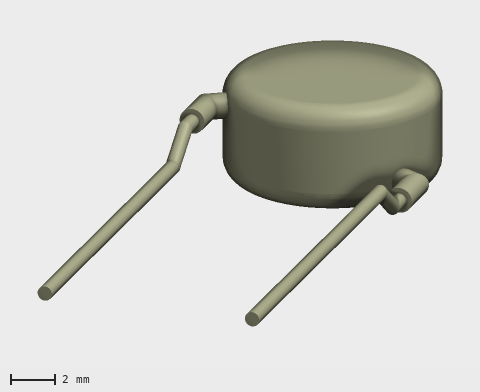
import cadquery as cq

disc_diameter = 10.0
disc_radius = disc_diameter / 2
disc_height = 5.0
edge_radius = 1.0

total_length = 30.0
lead_diameter = 0.7
lead_spacing = disc_diameter
lead_height = 1.3
first_bend_y = -5.9
second_bend_y = -7.62
lead_tip_y = disc_radius - total_length

sleeve_diameter = 1.2
sleeve_bend_y = -3.0
sleeve_end_y = -disc_radius

sides = (-1, 1)


def sweep_round(diameter, points):
    """Round bar along straight stretches, with mitred corners at the bends."""
    start = cq.Vector(*points[0])
    first_direction = cq.Vector(*points[1]) - start
    path = cq.Workplane("XY").polyline(points)
    profile = cq.Workplane(cq.Plane(origin=start, normal=first_direction)).circle(diameter / 2)
    return profile.sweep(path, transition="right")


def make_disc():
    """Plain disc with rounded top and bottom edges."""
    disc = cq.Workplane("XY").cylinder(disc_height, disc_radius)
    return disc.faces("|Z").edges().fillet(edge_radius)


def make_sleeve(side):
    """Sleeve that leaves the disc radially and then turns along -Y."""
    x = side * lead_spacing / 2
    z = -side * lead_height
    return sweep_round(sleeve_diameter, [(0, 0, z), (x, sleeve_bend_y, z), (x, sleeve_end_y, z)])


def make_housing():
    """Coated disc in one piece with its two sleeves."""
    housing = make_disc()
    for side in sides:
        housing = housing.union(make_sleeve(side))
    return housing


def make_lead(side):
    """Wire from the end of a sleeve, kinked to mid height."""
    x = side * lead_spacing / 2
    z = -side * lead_height
    points = [(x, sleeve_end_y, z), (x, first_bend_y, z), (x, second_bend_y, 0), (x, lead_tip_y, 0)]
    return sweep_round(lead_diameter, points)


housing = make_housing()
leads = [make_lead(side) for side in sides]

result = cq.Compound.makeCompound([housing.val(), *[lead.val() for lead in leads]])